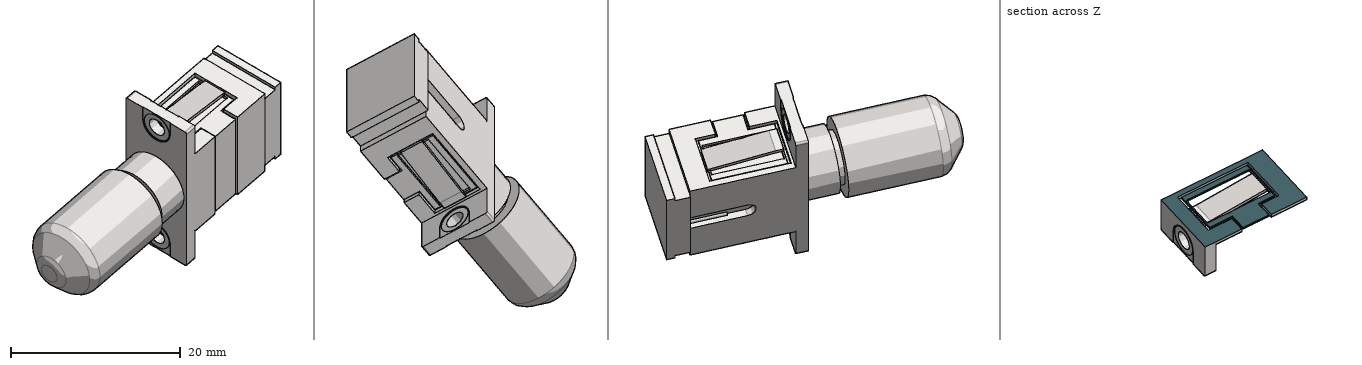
import cadquery as cq


overall_length = 37.2

housing_width = 9.3
housing_height = 12.9
housing_back = 14.47
flange_height = 22.2
flange_thickness = 1.55
flange_corner_radius = 0.25

screw_spacing = 18.0
screw_hole_diameter = 2.3
washer_seat_diameter = 3.8
washer_seat_depth = 0.1
open_seat_width = 4.2
open_seat_end_diameter = 4.05
open_seat_depth = 0.07

barrel_diameter = 8.45
barrel_length = 4.02
neck_diameter = 6.65
neck_length = 0.82

keyway_width = 2.12
keyway_depth = 0.93
keyway_front = 6.4
rib_width = 0.35
rib_protrusion = 0.25
rib_length = 4.75

pocket_left = -3.87
pocket_right = 2.53
pocket_front = 1.9
pocket_back = 11.87
pocket_depth = 0.6
panel_side_gap = 0.22
panel_end_gap = 0.35
panel_recess = 0.22
arm_recess = 0.1
arm_front = 5.47
arm_back = 9.2
window_left = -2.85
window_right = 1.53
window_front = 2.45
window_back = 11.3

tongue_left = -2.2
tongue_right = 0.85
tongue_root = 11.65
tongue_bend = 3.35
tongue_tip = 2.35
tongue_thickness = 0.45
tongue_tip_height = 7.22
tongue_rise = 0.75

square_cap_left = -4.95
square_cap_back = 17.4
square_cap_height = 11.13
lip_height = 12.0
lip_length = 1.05
square_cap_offset = 0.07

round_cap_radius = 4.9
round_cap_front = square_cap_back - overall_length
round_cap_shoulder = round_cap_front + 2.68
round_cap_nose_radius = 1.8
round_cap_fillet = 1.6

half_width = housing_width / 2
half_height = housing_height / 2
barrel_end = -barrel_length
neck_end = barrel_end - neck_length


def box(x_range, y_range, z_range):
    """Box between two limits along each axis."""
    size = [high - low for low, high in (x_range, y_range, z_range)]
    corner = (x_range[0], y_range[0], z_range[0])
    return cq.Workplane("XY").box(*size, centered=False).translate(corner)


def rod(diameter, front, back, height=0):
    """Cylinder along Y, centred on X = 0 at the given height."""
    plane = cq.Workplane("XZ", origin=(0, back, height))
    return plane.circle(diameter / 2).extrude(back - front)


def flange():
    plate = box(
        (-half_width, half_width),
        (0, flange_thickness),
        (-flange_height / 2, flange_height / 2),
    )
    plate = plate.edges("|Y").fillet(flange_corner_radius)
    for side in (-1, 1):
        screw_height = side * screw_spacing / 2
        plate = plate.cut(rod(screw_hole_diameter, 0, flange_thickness, screw_height))
        for face, inward in ((0, 1), (flange_thickness, -1)):
            open_floor = face + inward * open_seat_depth
            washer_floor = face + inward * washer_seat_depth
            plate = plate.cut(open_seat(side, *sorted((face, open_floor))))
            plate = plate.cut(rod(washer_seat_diameter, *sorted((face, washer_floor)), screw_height))
    return plate


def open_seat(side, front, back):
    """U-shaped seat around a screw hole, open at the flange edge."""
    screw_height = side * screw_spacing / 2
    edge_height = side * flange_height / 2
    channel = box(
        (-open_seat_width / 2, open_seat_width / 2),
        (front, back),
        sorted((screw_height, edge_height)),
    )
    return channel.union(rod(open_seat_end_diameter, front, back, screw_height))


def keyway():
    """Slot in the -X face, open at the back, with a round front end."""
    end_radius = keyway_width / 2
    return (
        cq.Workplane("YZ", origin=(-half_width, 0, 0))
        .moveTo(housing_back, end_radius)
        .lineTo(keyway_front + end_radius, end_radius)
        .threePointArc((keyway_front, 0), (keyway_front + end_radius, -end_radius))
        .lineTo(housing_back, -end_radius)
        .close()
        .extrude(keyway_depth)
    )


def keyway_rib():
    """Rib with a rounded upper edge along the lower wall of the keyway."""
    floor = keyway_depth - half_width
    bottom = -keyway_width / 2
    return (
        cq.Workplane("XZ", origin=(0, housing_back, 0))
        .moveTo(floor, bottom)
        .lineTo(floor, bottom + rib_width)
        .ellipseArc(rib_protrusion, rib_width, 90, 180, startAtCurrent=True)
        .close()
        .extrude(rib_length)
    )


def spring_pocket():
    """Recess for the panels: one on each of top and bottom, and a band around the +X side."""
    band_y = (arm_front - panel_side_gap, arm_back + panel_side_gap)
    floor_z = half_height - pocket_depth
    recess = box((half_width - pocket_depth, half_width), band_y, (-half_height, half_height))
    for z_range in ((floor_z, half_height), (-half_height, -floor_z)):
        recess = recess.union(box((pocket_left, pocket_right), (pocket_front, pocket_back), z_range))
        recess = recess.union(box((pocket_left, half_width), band_y, z_range))
    return recess


def spring_panels():
    """Panels and linking arm, standing on the pocket floors with a groove left around them."""
    arm_y = (arm_front, arm_back)
    arm_outside = half_width - arm_recess
    panel_x = (pocket_left + panel_side_gap, pocket_right - panel_side_gap)
    panel_y = (pocket_front + panel_end_gap, pocket_back - panel_end_gap)
    panel_inside = half_height - pocket_depth
    panel_outside = half_height - panel_recess
    panels = box((half_width - pocket_depth, arm_outside), arm_y, (-panel_outside, panel_outside))
    for z_range in ((panel_inside, panel_outside), (-panel_outside, -panel_inside)):
        panels = panels.union(box(panel_x, panel_y, z_range))
        panels = panels.union(box((panel_x[0], arm_outside), arm_y, z_range))
    window = box(
        (window_left, window_right), (window_front, window_back), (-half_height, half_height)
    )
    return panels.cut(window)


def tongue():
    """Upper tongue: a strip that rises from its root and levels out at its tip."""
    root_height = tongue_tip_height - tongue_rise
    upper_edge = [
        (tongue_root, root_height),
        (tongue_bend, tongue_tip_height),
        (tongue_tip, tongue_tip_height),
    ]
    lower_edge = [(y, z - tongue_thickness) for y, z in reversed(upper_edge)]
    return (
        cq.Workplane("YZ", origin=(tongue_left, 0, 0))
        .polyline(upper_edge + lower_edge)
        .close()
        .extrude(tongue_right - tongue_left)
    )


def make_housing():
    block = box((-half_width, half_width), (0, housing_back), (-half_height, half_height))
    body = block.cut(keyway()).union(keyway_rib())
    body = body.cut(spring_pocket()).union(spring_panels())
    body = body.union(tongue()).union(tongue().mirror("XY"))
    body = body.union(flange())
    body = body.union(rod(barrel_diameter, barrel_end, 0))
    return body.union(rod(neck_diameter, neck_end, barrel_end))


def make_square_cap():
    """Cap with a grip lip at its back, set slightly above the plug axis."""
    cap_x = (square_cap_left, half_width)
    grip = box(cap_x, (housing_back, square_cap_back), (-square_cap_height / 2, square_cap_height / 2))
    lip = box(cap_x, (square_cap_back - lip_length, square_cap_back), (-lip_height / 2, lip_height / 2))
    return grip.union(lip).translate((0, 0, square_cap_offset))


def make_round_cap():
    """Turned cap with a conical nose; both edges of the cone are rounded."""
    blank = (
        cq.Workplane("XY")
        .moveTo(0, neck_end)
        .lineTo(round_cap_radius, neck_end)
        .lineTo(round_cap_radius, round_cap_shoulder)
        .lineTo(round_cap_nose_radius, round_cap_front)
        .lineTo(0, round_cap_front)
        .close()
        .revolve(360, (0, 0, 0), (0, 1, 0))
    )
    return blank.faces("%CONE").edges("%CIRCLE").fillet(round_cap_fillet)


housing = make_housing()
square_cap = make_square_cap()
round_cap = make_round_cap()

result = cq.Compound.makeCompound([housing.val(), square_cap.val(), round_cap.val()])